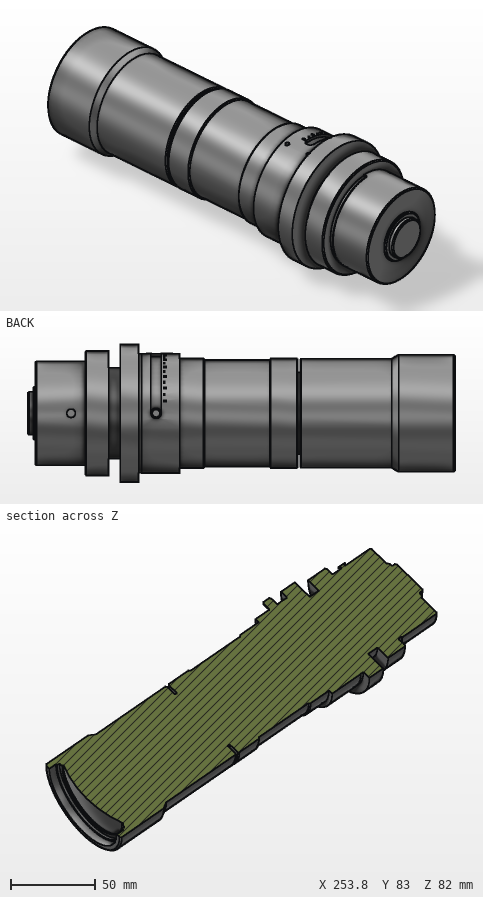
import cadquery as cq
import math


hood_end = 33.5
barrel_start = 37.5
barrel_end = 92.0
ring_start = 93.5
ring_end = 110.1
collar_start = 148.7
sleeve_start = 163.7
sleeve_end = 186.0
flange_start = 188.0
flange_end = 199.0
lock_ring_start = 205.8
lock_ring_end = 219.8
relief_end = 222.0
mount_end = 249.5
plate_end = 250.7
overall_length = 253.8

hood_dia = 69.8
barrel_dia = 65.0
barrel_gap_dia = 49.0
ring_dia = 65.2
tube_dia = 63.5
sleeve_dia = 71.0
sleeve_edge_dia = 70.8
flange_dia = 82.0
neck_dia = 54.3
lock_ring_dia = 74.0
mount_dia = 62.0
relief_dia = 60.7
plate_dia = 31.7
end_cap_dia = 25.6

body_core_radius = neck_dia / 2

edge_chamfer = 0.8
hood_chamfer = 1.0

mouth_dia = 62.0
mouth_depth = 5.0
retainer_dia = 60.0
retainer_depth = 7.0
lens_dia = 55.3
lens_edge_depth = 8.0
lens_bulge = 5.0

slot_x = 177.6
slot_width = 6.0
slot_depth = 1.8
pin_angle = 90.0
pin_dia = slot_width
overall_width = 83.0
pin_tip = overall_width - flange_dia / 2
mark_left = 171.5
mark_width = 0.8
mark_depth = 0.5
long_mark = 1.5
short_mark = 0.5
mark_right = mark_left + long_mark
mark_pitch_angle = 6.5
mark_count = 13
screw_hole_dia = 2.5
screw_hole_depth = 2.5
screw_hole_angle = 15.0
screw_hole_stations = (167.2, 184.0)

clamp_x = 228.1
clamp_angle = 90.0
clamp_head_dia = 5.0
clamp_head_height = 0.8
clamp_neck_dia = 3.0
clamp_tip = 32.7


def turned(start, end, dia, front_chamfer=0.0, rear_chamfer=0.0):
    """Cylinder along X with optional chamfers on its two rims."""
    body = cq.Workplane("YZ", origin=(start, 0, 0)).circle(dia / 2).extrude(end - start)
    if front_chamfer:
        body = body.faces("<X").chamfer(front_chamfer)
    if rear_chamfer:
        body = body.faces(">X").chamfer(rear_chamfer)
    return body


def radial_rod(x, angle, dia, inner, outer):
    """Cylinder pointing outward from the axis; angle runs from +Z towards +Y."""
    rod = cq.Workplane("XY", origin=(x, 0, inner)).circle(dia / 2).extrude(outer - inner)
    return rod.rotate((0, 0, 0), (1, 0, 0), -angle)


def outer_body():
    """All coaxial outer steps, from the hood to the end cap."""
    bevel = (
        cq.Workplane("YZ", origin=(hood_end, 0, 0))
        .circle(hood_dia / 2)
        .workplane(offset=barrel_start - hood_end)
        .circle(barrel_dia / 2)
        .loft()
    )
    steps = [
        bevel,
        turned(barrel_start, barrel_end, barrel_dia, rear_chamfer=edge_chamfer),
        turned(barrel_end, ring_start, barrel_gap_dia),
        turned(ring_start, ring_end, ring_dia, edge_chamfer, edge_chamfer),
        turned(ring_end, collar_start, tube_dia),
        turned(collar_start, sleeve_start, ring_dia, front_chamfer=edge_chamfer),
        turned(sleeve_start, sleeve_end, sleeve_dia),
        turned(sleeve_end, flange_start, sleeve_edge_dia),
        turned(flange_start, flange_end, flange_dia),
        turned(flange_end, lock_ring_start, neck_dia),
        turned(lock_ring_start, lock_ring_end, lock_ring_dia, rear_chamfer=edge_chamfer),
        turned(lock_ring_end, mount_end, mount_dia, rear_chamfer=edge_chamfer),
        turned(mount_end, plate_end, plate_dia, rear_chamfer=edge_chamfer),
        turned(plate_end, overall_length, end_cap_dia, rear_chamfer=edge_chamfer),
    ]
    body = turned(0, hood_end, hood_dia, front_chamfer=hood_chamfer)
    for step in steps:
        body = body.union(step)
    return body


def front_opening():
    """Stepped mouth of the hood, ending on the convex face of the front lens."""
    lens_radius = lens_dia / 2
    sphere_radius = (lens_radius**2 + lens_bulge**2) / (2 * lens_bulge)
    sphere_centre = lens_edge_depth - lens_bulge + sphere_radius
    half_angle = math.asin(lens_radius / sphere_radius) / 2
    arc_middle = (
        sphere_centre - sphere_radius * math.cos(half_angle),
        sphere_radius * math.sin(half_angle),
    )
    return (
        cq.Workplane("XY")
        .moveTo(0, 0)
        .lineTo(0, mouth_dia / 2)
        .lineTo(mouth_depth, mouth_dia / 2)
        .lineTo(mouth_depth, retainer_dia / 2)
        .lineTo(retainer_depth, retainer_dia / 2)
        .lineTo(retainer_depth, lens_radius)
        .lineTo(lens_edge_depth, lens_radius)
        .threePointArc(arc_middle, (lens_edge_depth - lens_bulge, 0))
        .close()
        .revolve(360, (0, 0, 0), (1, 0, 0))
    )


def focus_slot():
    """Round-ended slot around the sleeve, from +Z to the pin at +Y."""
    floor = sleeve_dia / 2 - slot_depth
    top = sleeve_dia / 2 + slot_depth
    slot = (
        cq.Workplane("XY", origin=(slot_x - slot_width / 2, 0, 0))
        .box(slot_width, top, top, centered=False)
        .intersect(turned(sleeve_start, sleeve_end, 2 * top))
    )
    for angle in (0, pin_angle):
        slot = slot.union(radial_rod(slot_x, angle, slot_width, body_core_radius, top))
    return slot.cut(turned(sleeve_start, sleeve_end, 2 * floor))


def focus_pin():
    """Chamfered pin that stands at the +Y end of the slot."""
    pin = radial_rod(slot_x, pin_angle, pin_dia, body_core_radius, pin_tip)
    return pin.faces(">Y").chamfer(edge_chamfer)


def scale_marks():
    """Engraved marks beside the slot, alternately long and short."""
    marks = cq.Workplane("XY")
    for index in range(mark_count):
        length = short_mark if index % 2 else long_mark
        mark = (
            cq.Workplane("XY")
            .box(length, mark_width, 2 * mark_depth)
            .translate((mark_right - length / 2, 0, sleeve_dia / 2))
            .rotate((0, 0, 0), (1, 0, 0), -index * mark_pitch_angle)
        )
        marks = marks.add(mark)
    return marks.combine()


def set_screw_holes():
    """Two shallow radial holes, side by side along the sleeve."""
    surface = sleeve_dia / 2
    floor = surface - screw_hole_depth
    top = surface + screw_hole_depth
    holes = cq.Workplane("XY")
    for station in screw_hole_stations:
        holes = holes.add(radial_rod(station, -screw_hole_angle, screw_hole_dia, floor, top))
    return holes.combine()


def mount_relief():
    """Shallow groove behind the lock ring, on the -Y half only."""
    groove = turned(lock_ring_end, relief_end, flange_dia).cut(
        turned(lock_ring_end, relief_end, relief_dia)
    )
    half = cq.Workplane("XY").box(overall_length, flange_dia, flange_dia, centered=(False, False, True))
    return groove.cut(half)


def clamp_screw():
    """Small headed screw standing out of the mount at +Y."""
    neck = radial_rod(clamp_x, clamp_angle, clamp_neck_dia, body_core_radius, clamp_tip)
    head = radial_rod(clamp_x, clamp_angle, clamp_head_dia, clamp_tip - clamp_head_height, clamp_tip)
    return neck.union(head)


result = outer_body().cut(front_opening())
result = result.cut(focus_slot()).union(focus_pin())
result = result.cut(scale_marks()).cut(set_screw_holes())
result = result.cut(mount_relief()).union(clamp_screw())